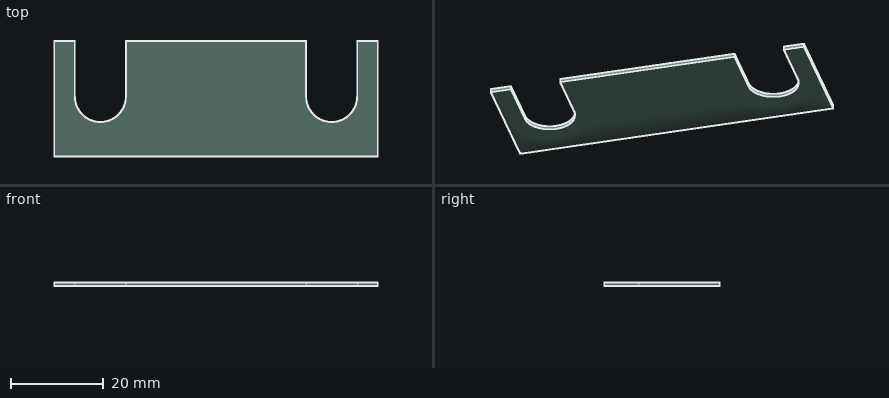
import cadquery as cq

length = 70.0
width = 25.0
thickness = 0.85

slot_width = 11.0
slot_depth = 17.5
slot_spacing = 50.0

slot_radius = slot_width / 2
open_edge_y = width / 2
slot_center_y = open_edge_y - slot_depth + slot_radius


def open_slot(center_x):
    """Cutter for one slot running from the +Y edge to a half-round bottom."""
    return (
        cq.Workplane("XY")
        .moveTo(center_x - slot_radius, open_edge_y)
        .lineTo(center_x - slot_radius, slot_center_y)
        .threePointArc(
            (center_x, slot_center_y - slot_radius),
            (center_x + slot_radius, slot_center_y),
        )
        .lineTo(center_x + slot_radius, open_edge_y)
        .close()
        .extrude(thickness)
    )


plate = cq.Workplane("XY").box(length, width, thickness, centered=(True, True, False))
for side in (-1, 1):
    plate = plate.cut(open_slot(side * slot_spacing / 2))

result = plate